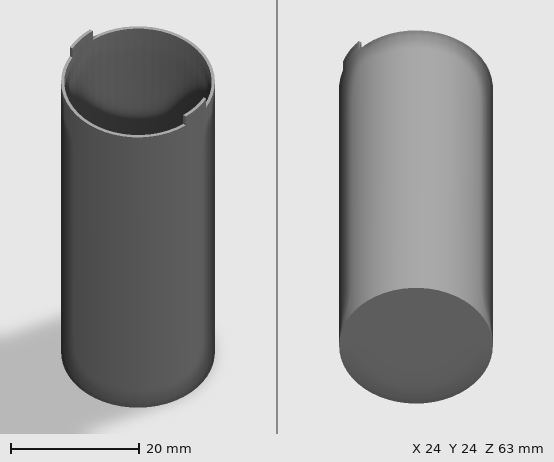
import cadquery as cq

total_height = 63.0
outer_diameter = 24.0
inner_diameter = 23.0
wall = (outer_diameter - inner_diameter) / 2
floor_thickness = wall

tab_height = 2.0
tab_width = 5.0
rim_height = total_height - tab_height


def make_cup():
    """Round cup, closed at the bottom, with its wall reaching the tab tops."""
    body = cq.Workplane("XY").circle(outer_diameter / 2).extrude(total_height)
    cavity = (
        cq.Workplane("XY", origin=(0, 0, floor_thickness))
        .circle(inner_diameter / 2)
        .extrude(total_height - floor_thickness)
    )
    return body.cut(cavity)


def make_rim_cutter():
    """Ring of material above the rim, leaving a straight band for the tabs."""
    disc = cq.Workplane("XY", origin=(0, 0, rim_height)).circle(outer_diameter).extrude(tab_height)
    tab_band = (
        cq.Workplane("XY", origin=(0, 0, rim_height))
        .rect(2 * outer_diameter, tab_width)
        .extrude(tab_height)
    )
    return disc.cut(tab_band)


result = make_cup().cut(make_rim_cutter())